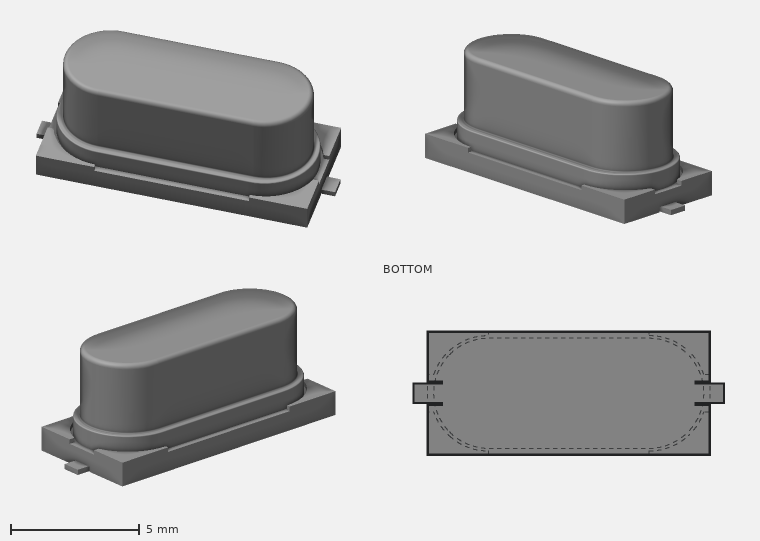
import cadquery as cq

base_length = 11.0
base_width = 4.8
base_height = 1.0

recess_floor = 0.81
recess_radius = 2.25
recess_arc_center = 3.13
end_opening_width = 1.45

flange_length = 10.53
flange_width = 4.3
flange_straight = 6.05
flange_top = 1.61
flange_rounding = 0.05

can_radius = 1.85
can_arc_center = 3.16
can_top = 4.51
can_top_rounding = 0.19
can_foot_fillet = 0.05

overall_length = 12.1
lead_width = 0.77
lead_thickness = 0.22
lead_slot_width = 0.92
lead_slot_depth = 0.56


def block(length, width, bottom, top, center_x=0):
    """Rectangular block centred on the X axis, between two heights."""
    return (
        cq.Workplane("XY", origin=(center_x, 0, bottom))
        .rect(length, width)
        .extrude(top - bottom)
    )


def rounded_bar(arc_center, radius, bottom, top):
    """Bar with semicircular ends centred at x = +/- arc_center."""
    return (
        cq.Workplane("XY", origin=(0, 0, bottom))
        .slot2D(2 * (arc_center + radius), 2 * radius)
        .extrude(top - bottom)
    )


def make_base():
    base = block(base_length, base_width, 0, base_height)
    recess = rounded_bar(recess_arc_center, recess_radius, recess_floor, base_height)
    end_openings = block(base_length, end_opening_width, recess_floor, base_height)
    side_openings = block(2 * recess_arc_center, base_width, recess_floor, base_height)
    return base.cut(recess).cut(end_openings).cut(side_openings)


def make_flange():
    end_x = flange_length / 2
    seam_x = flange_straight / 2
    side_y = flange_width / 2
    return (
        cq.Workplane("XY", origin=(0, 0, recess_floor))
        .moveTo(-seam_x, -side_y)
        .lineTo(seam_x, -side_y)
        .threePointArc((end_x, 0), (seam_x, side_y))
        .lineTo(-seam_x, side_y)
        .threePointArc((-end_x, 0), (-seam_x, -side_y))
        .close()
        .extrude(flange_top - recess_floor)
        .faces(">Z")
        .edges()
        .fillet(flange_rounding)
    )


def make_can():
    can = rounded_bar(can_arc_center, can_radius, flange_top, can_top)
    return can.faces(">Z").edges().fillet(can_top_rounding)


def fillet_can_foot(body):
    """Blend the can wall into the top of the flange."""
    reach = can_radius + can_foot_fillet / 2
    tolerance = can_foot_fillet / 2
    foot_edges = cq.selectors.BoxSelector(
        (-can_arc_center - reach, -reach, flange_top - tolerance),
        (can_arc_center + reach, reach, flange_top + tolerance),
        boundingbox=True,
    )
    return body.edges(foot_edges).fillet(can_foot_fillet)


def add_lead(body, side):
    """Cut the slot at one end (side = +1 or -1) and lay the lead in it."""
    inner_x = base_length / 2 - lead_slot_depth
    slot_x = side * (inner_x + lead_slot_depth / 2)
    lead_length = overall_length / 2 - inner_x
    lead_x = side * (inner_x + lead_length / 2)
    slot = block(lead_slot_depth, lead_slot_width, 0, lead_thickness, slot_x)
    lead = block(lead_length, lead_width, 0, lead_thickness, lead_x)
    return body.cut(slot).union(lead)


result = fillet_can_foot(make_flange().union(make_can())).union(make_base())
for end in (-1, 1):
    result = add_lead(result, end)